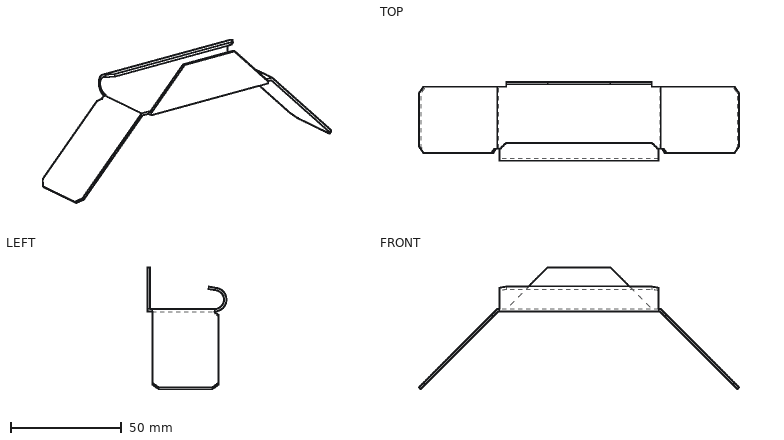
import cadquery as cq
import math

overall_depth = 35.78
thickness = 1.2
plate_half_length = 36.94

flange_base_width = 66.0
flange_overall_height = 20.0
flange_height = flange_overall_height - thickness

wing_width = 30.0
wing_back_y = -2.2
wing_front_y = wing_back_y - wing_width
wing_angle = 45.0
wing_length = 50.24
wing_corner_chamfer = 3.0
relief_straight = 2.0

hook_width = 72.0
hook_outer_radius = 5.4
hook_inner_radius = hook_outer_radius - thickness
hook_start_y = hook_outer_radius - overall_depth
lip_angle = 10.0
lip_length = 3.6
lip_corner_chamfer = 3.0

miter = thickness * math.tan(math.radians(wing_angle / 2))


def extrude_forward(section, back_y, front_y):
    """Extrude a closed XZ section from back_y towards -Y as far as front_y."""
    return cq.Workplane("XZ", origin=(0, back_y, 0)).polyline(section).close().extrude(back_y - front_y)


def make_plate():
    """Centre plate with mitred ends, and a narrower strip behind it that carries the flange."""
    lower_half_length = plate_half_length - miter
    section = [
        (-plate_half_length, 0),
        (plate_half_length, 0),
        (lower_half_length, -thickness),
        (-lower_half_length, -thickness),
    ]
    plate = extrude_forward(section, wing_back_y, hook_start_y)
    half_strip = flange_base_width / 2
    strip_section = [
        (-half_strip, 0),
        (half_strip, 0),
        (half_strip, -thickness),
        (-half_strip, -thickness),
    ]
    return plate.union(extrude_forward(strip_section, 0, wing_back_y))


def make_flange():
    """Upright trapezoid standing on the back edge of the plate."""
    half_base = flange_base_width / 2
    half_top = half_base - flange_height
    outline = [
        (-half_base, 0),
        (half_base, 0),
        (half_top, flange_height),
        (-half_top, flange_height),
    ]
    return extrude_forward(outline, 0, -thickness)


def make_right_wing():
    """Mitred strip trimmed to the wing outline, then folded down at the +X bend line."""
    section = [(0, 0), (wing_length, 0), (wing_length, -thickness), (miter, -thickness)]
    strip = extrude_forward(section, wing_back_y, wing_front_y)
    chamfer = wing_corner_chamfer
    relief_flare = hook_start_y - wing_front_y
    outline = [
        (0, wing_back_y),
        (wing_length - chamfer, wing_back_y),
        (wing_length, wing_back_y - chamfer),
        (wing_length, wing_front_y + chamfer),
        (wing_length - chamfer, wing_front_y),
        (relief_straight + relief_flare, wing_front_y),
        (relief_straight, hook_start_y),
        (0, hook_start_y),
    ]
    flat_wing = strip.intersect(cq.Workplane("XY").polyline(outline).close().extrude(-thickness))
    folded_wing = flat_wing.rotate((0, 0, 0), (0, 1, 0), wing_angle)
    return folded_wing.translate((plate_half_length, 0, 0))


def hook_point(radius, degrees):
    """Point (Y, Z) on the hook at an angle measured from -Y towards +Z.

    The hook centre sits one inner radius above the plate, so the roll is tangent to it.
    """
    angle = math.radians(degrees)
    return (hook_start_y - radius * math.cos(angle), hook_inner_radius + radius * math.sin(angle))


def lip_tip_point(radius):
    """Point (Y, Z) at the free end of the lip, on the face continuing the given radius."""
    start_y, start_z = hook_point(radius, 90 - lip_angle)
    angle = math.radians(lip_angle)
    return (start_y + lip_length * math.cos(angle), start_z + lip_length * math.sin(angle))


def make_hook():
    """Arc tangent to the plate, followed by a straight lip with chamfered free corners."""
    arc_start = -90
    arc_end = 90 - lip_angle
    arc_middle = (arc_start + arc_end) / 2
    outer = hook_outer_radius
    inner = hook_inner_radius
    hook = (
        cq.Workplane("YZ", origin=(-hook_width / 2, 0, 0))
        .moveTo(*hook_point(outer, arc_start))
        .threePointArc(hook_point(outer, arc_middle), hook_point(outer, arc_end))
        .lineTo(*lip_tip_point(outer))
        .lineTo(*lip_tip_point(inner))
        .lineTo(*hook_point(inner, arc_end))
        .threePointArc(hook_point(inner, arc_middle), hook_point(inner, arc_start))
        .close()
        .extrude(hook_width)
    )
    tip_y, tip_z = lip_tip_point((inner + outer) / 2)
    for side in (-1, 1):
        corner = (side * hook_width / 2, tip_y, tip_z)
        hook = hook.edges(cq.selectors.NearestToPointSelector(corner)).chamfer(lip_corner_chamfer)
    return hook


right_wing = make_right_wing()
left_wing = right_wing.mirror("YZ")
result = make_plate().union(make_flange()).union(make_hook()).union(right_wing).union(left_wing)